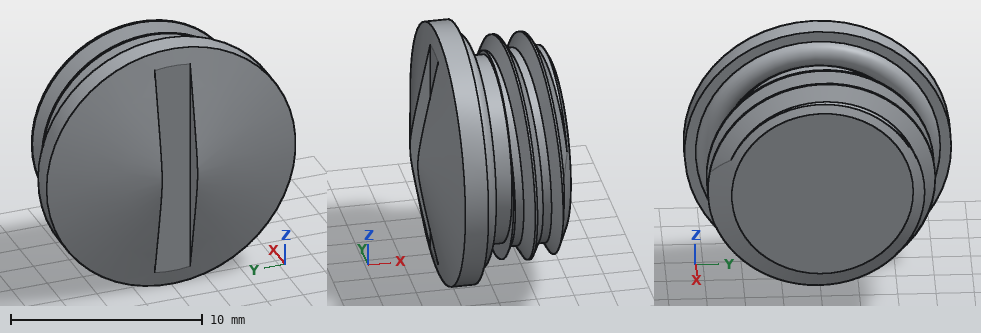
import cadquery as cq
import math


head_diameter = 13.94
disc_thickness = 1.235
cone_slope = math.tan(math.radians(12))

slot_width = 1.98
slot_floor_above_disc = 0.19

neck_diameter = 9.92
neck_length = 1.675

shank_end_x = 4.875
root_diameter = 10.34
crest_diameter = 11.92
pitch = 1.485
flank_angle = 30
crest_width = 0.12
ridge_overlap = 0.1
crest_x_at_bottom = 3.12
end_chamfer_length = 0.22
end_chamfer_rise = 1.95

ring_section_diameter = 1.32
ring_outer_diameter = 12.78

head_radius = head_diameter / 2
neck_radius = neck_diameter / 2
root_radius = root_diameter / 2
crest_radius = crest_diameter / 2
cone_height = head_radius * cone_slope
head_top_x = -disc_thickness - cone_height


def make_ring():
    section_radius = ring_section_diameter / 2
    ring_radius = ring_outer_diameter / 2 - section_radius
    return (
        cq.Workplane("XY")
        .center(0, ring_radius)
        .circle(section_radius)
        .revolve(360, (0, -ring_radius), (1, -ring_radius))
    )


def make_head():
    outline = [
        (0, 0),
        (0, head_radius),
        (-disc_thickness, head_radius),
        (head_top_x, 0),
    ]
    head = cq.Workplane("XY").polyline(outline).close().revolve(360, (0, 0), (1, 0))
    slot_depth = cone_height - slot_floor_above_disc
    slot = (
        cq.Workplane("XY")
        .box(slot_depth, slot_width, head_diameter, centered=(False, True, True))
        .translate((head_top_x, 0, 0))
    )
    return head.cut(slot)


def make_thread_ridge():
    """One long helical ridge, overlapping the core and overrunning both ends of the thread."""
    sunk_radius = root_radius - ridge_overlap
    half_crest = crest_width / 2
    half_base = half_crest + (crest_radius - sunk_radius) * math.tan(math.radians(flank_angle))
    turns_before_crest = 2
    turns = 4
    start_x = crest_x_at_bottom - turns_before_crest * pitch
    profile = [
        (sunk_radius, -half_base),
        (crest_radius, -half_crest),
        (crest_radius, half_crest),
        (sunk_radius, half_base),
    ]
    helix = cq.Workplane(cq.Wire.makeHelix(pitch, turns * pitch, sunk_radius))
    ridge = cq.Workplane("XZ").polyline(profile).close().sweep(helix, isFrenet=True)
    return ridge.rotate((0, 0, 0), (0, 1, 0), 90).translate((start_x, 0, 0))


def make_thread_limit():
    """Space the thread may fill: squared off at the neck and coned at the free end."""
    end_radius = root_radius - end_chamfer_length * end_chamfer_rise
    cone_base_radius = end_radius + (shank_end_x - neck_length) * end_chamfer_rise
    outline = [
        (neck_length, 0),
        (neck_length, cone_base_radius),
        (shank_end_x, end_radius),
        (shank_end_x, 0),
    ]
    return cq.Workplane("XY").polyline(outline).close().revolve(360, (0, 0), (1, 0))


def make_shank():
    core_length = shank_end_x - neck_length
    neck = cq.Workplane("YZ").circle(neck_radius).extrude(neck_length)
    core = cq.Workplane("YZ").workplane(offset=neck_length).circle(root_radius).extrude(core_length)
    limit = make_thread_limit()
    ridge = make_thread_ridge().intersect(limit)
    return neck.union(core.intersect(limit)).union(ridge)


ring = make_ring()
plug = make_head().union(make_shank()).cut(ring)

result = cq.Compound.makeCompound([plug.val(), ring.val()])